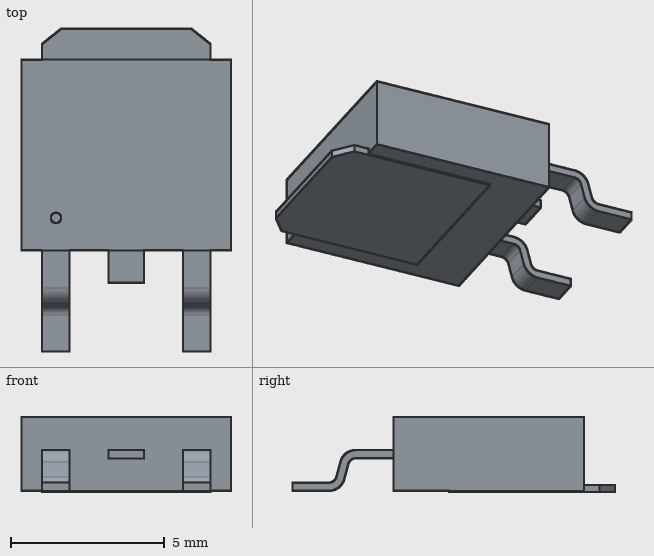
import cadquery as cq
import math

housing_width = 6.81
housing_length = 6.2
housing_height = 2.4
housing_bottom = 0.04
housing_top = housing_bottom + housing_height

tab_width = 5.49
tab_thickness = 0.24
tab_overhang = 1.01
tab_length = 5.39
tab_corner_x = 0.63
tab_corner_y = 0.5
tab_back = housing_length + tab_overhang
tab_front = tab_back - tab_length

lead_thickness = 0.27
lead_reach = 10.49 - tab_back
lead_width = 0.9
lead_offset = (tab_width - lead_width) / 2
lead_drop = 1.06
lead_straight = 1.22
bend_inner_radius = 0.25
bend_angle = math.radians(75)
stub_width = 1.16
stub_length = 1.05
foot_center_z = housing_bottom + lead_thickness / 2
lead_center_z = foot_center_z + lead_drop

marker_diameter = 0.34
marker_depth = 0.04
marker_x = -housing_width / 2 + 1.12
marker_y = 1.06


def make_tab():
    half_width = tab_width / 2
    outline = [
        (-half_width, tab_front),
        (half_width, tab_front),
        (half_width, tab_back - tab_corner_y),
        (half_width - tab_corner_x, tab_back),
        (-half_width + tab_corner_x, tab_back),
        (-half_width, tab_back - tab_corner_y),
    ]
    return cq.Workplane("XY").polyline(outline).close().extrude(tab_thickness)


def make_marker():
    return (
        cq.Workplane("XY", origin=(marker_x, marker_y, housing_top - marker_depth))
        .circle(marker_diameter / 2)
        .extrude(marker_depth)
    )


def make_housing(tab, marker):
    block = cq.Workplane("XY", origin=(0, 0, housing_bottom)).box(
        housing_width, housing_length, housing_height, centered=(True, False, False)
    )
    return block.cut(tab).cut(marker)


def make_outer_lead(x):
    """Gull-wing lead: a rectangle swept along its bent centreline."""
    radius = bend_inner_radius + lead_thickness / 2
    bend_run = radius * math.sin(bend_angle)
    bend_drop = radius * (1 - math.cos(bend_angle))
    slope_drop = lead_drop - 2 * bend_drop
    slope_run = slope_drop / math.tan(bend_angle)

    bend_start = -lead_straight
    slope_start = bend_start - bend_run
    slope_end = slope_start - slope_run
    foot_start = slope_end - bend_run
    centreline = (
        cq.Workplane("YZ", origin=(x, 0, 0))
        .moveTo(0, lead_center_z)
        .lineTo(bend_start, lead_center_z)
        .tangentArcPoint((slope_start, lead_center_z - bend_drop), relative=False)
        .lineTo(slope_end, foot_center_z + bend_drop)
        .tangentArcPoint((foot_start, foot_center_z), relative=False)
        .lineTo(-lead_reach, foot_center_z)
    )
    return (
        cq.Workplane("XZ", origin=(x, 0, lead_center_z))
        .rect(lead_width, lead_thickness)
        .sweep(centreline)
    )


def make_center_stub():
    """Cropped middle lead, level with the upper run of the outer leads."""
    return (
        cq.Workplane("XZ", origin=(0, 0, lead_center_z))
        .rect(stub_width, lead_thickness)
        .extrude(stub_length)
    )


tab = make_tab()
marker = make_marker()
housing = make_housing(tab, marker)
outer_leads = [make_outer_lead(side * lead_offset) for side in (-1, 1)]
center_stub = make_center_stub()

result = cq.Compound.makeCompound(
    [housing.val(), tab.val(), marker.val(), center_stub.val(), *[lead.val() for lead in outer_leads]]
)